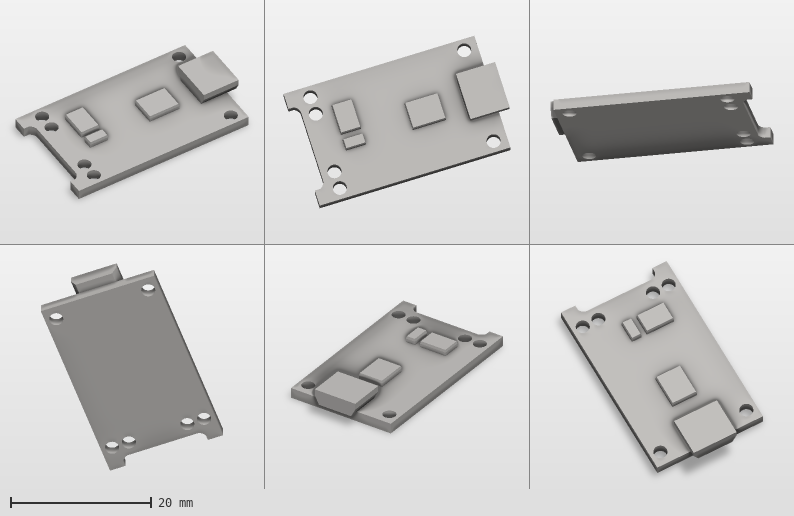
import cadquery as cq

board_width = 17.2
board_length = 28.5
board_thickness = 1.62

notch_width = 12.55
notch_depth = 1.55
notch_corner_run = 0.95
notch_corner_drop = 0.75
notch_corner_bulge = 0.15

hole_diameter = 2.0
outer_hole_x = 7.0
inner_hole_x = 4.45
lower_hole_y = 3.5
upper_hole_y = 26.5

connector_width = 6.95
connector_length = 5.85
connector_overhang = 1.5
connector_height = 2.35
connector_side_height = 1.0
connector_undercut = 0.72

chip_height = 0.95
chip_bevel_height = 0.4
chip_bevel_inset = 0.1
main_chip_width = 4.0
main_chip_length = 4.98
main_chip_y = 18.48
small_chip_length = 3.03
small_chip_y = 7.5
wide_chip_width = 4.4
wide_chip_x = -2.6
narrow_chip_width = 1.55
narrow_chip_x = 1.23


def make_board():
    board = cq.Workplane("XY").box(
        board_width, board_length, board_thickness, centered=(True, False, False)
    )
    half_notch = notch_width / 2
    half_top = half_notch - notch_corner_run
    wall_top_y = notch_depth - notch_corner_drop
    notch = (
        cq.Workplane("XY")
        .moveTo(-half_notch, 0)
        .lineTo(-half_notch, wall_top_y)
        .sagittaArc((-half_top, notch_depth), notch_corner_bulge)
        .lineTo(half_top, notch_depth)
        .sagittaArc((half_notch, wall_top_y), notch_corner_bulge)
        .lineTo(half_notch, 0)
        .close()
        .extrude(board_thickness)
    )
    hole_centres = []
    for side in (-1, 1):
        hole_centres.append((side * outer_hole_x, upper_hole_y))
        hole_centres.append((side * outer_hole_x, lower_hole_y))
        hole_centres.append((side * inner_hole_x, lower_hole_y))
    holes = (
        cq.Workplane("XY")
        .pushPoints(hole_centres)
        .circle(hole_diameter / 2)
        .extrude(board_thickness)
    )
    return board.cut(notch).cut(holes)


def make_connector():
    half_top = connector_width / 2
    half_base = half_top - connector_undercut
    top_z = board_thickness + connector_height
    shoulder_z = top_z - connector_side_height
    profile = [
        (-half_base, board_thickness),
        (half_base, board_thickness),
        (half_top, shoulder_z),
        (half_top, top_z),
        (-half_top, top_z),
        (-half_top, shoulder_z),
    ]
    return (
        cq.Workplane("XZ", origin=(0, board_length + connector_overhang, 0))
        .polyline(profile)
        .close()
        .extrude(connector_length)
    )


def make_chip(width, length, x, y):
    return (
        cq.Workplane("XY", origin=(x, y, board_thickness))
        .box(width, length, chip_height, centered=(True, True, False))
        .faces(">Z")
        .chamfer(chip_bevel_height, chip_bevel_inset)
    )


chips = [
    make_chip(main_chip_width, main_chip_length, 0, main_chip_y),
    make_chip(wide_chip_width, small_chip_length, wide_chip_x, small_chip_y),
    make_chip(narrow_chip_width, small_chip_length, narrow_chip_x, small_chip_y),
]

result = make_board().union(make_connector())
for chip in chips:
    result = result.union(chip)